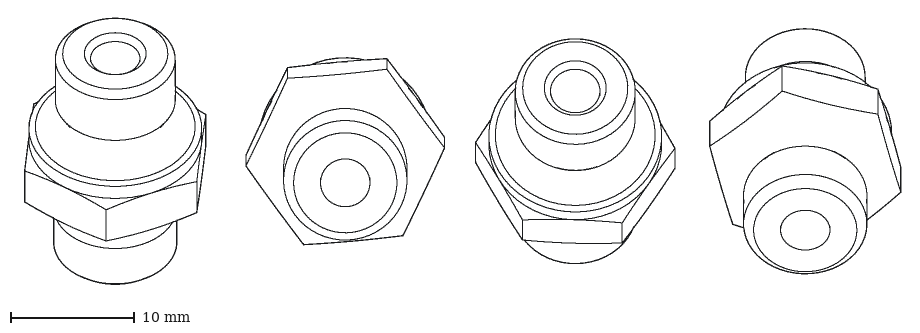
import cadquery as cq
import math

TOTAL_HEIGHT = 21.5
HEX_BOTTOM = 8.02
HEX_HEIGHT = 4.0
FLANGE_RIM_TOP = 13.48
UPPER_THREAD_BOTTOM = 16.43
LOWER_THREAD_TOP = 4.69

HEX_ACROSS_FLATS = 14.0
FLANGE_RADIUS = HEX_ACROSS_FLATS / 2
FLANGE_RIM_RADIUS = 6.47
UPPER_THREAD_RADIUS = 9.72 / 2
LOWER_THREAD_RADIUS = 10.0 / 2
UPPER_NECK_RADIUS = 8.3 / 2
LOWER_NECK_RADIUS = 8.4 / 2
BORE_RADIUS = 4.0 / 2
COUNTERSINK_RADIUS = 5.0 / 2

UPPER_THREAD_CHAMFER = 0.6
LOWER_THREAD_CHAMFER = 0.82
UPPER_NECK_BLEND = 1.0
LOWER_NECK_BLEND = 0.8
RUNOUT_ANGLE = math.radians(30)
DISH_ANGLE = math.radians(8)
CORNER_ANGLE = math.radians(15)


def arc_point(center, radius, angle):
    """Point on a profile arc; angle 0 points away from the axis."""
    return (center[0] + radius * math.cos(angle), center[1] + radius * math.sin(angle))


def runout_height(neck_radius, thread_radius, blend):
    """Height from the thread edge to the straight neck."""
    blend_rise = blend * (1 - math.cos(RUNOUT_ANGLE))
    cone_height = (thread_radius - neck_radius - blend_rise) / math.tan(RUNOUT_ANGLE)
    return cone_height + blend * math.sin(RUNOUT_ANGLE)


def turned_body():
    """Lower thread, lower neck, flange, upper neck and upper thread as one revolve."""
    lower_center_r = LOWER_NECK_RADIUS + LOWER_NECK_BLEND
    lower_runout = runout_height(LOWER_NECK_RADIUS, LOWER_THREAD_RADIUS, LOWER_NECK_BLEND)
    lower_runout_center = (lower_center_r, LOWER_THREAD_TOP + lower_runout)
    lower_fillet_center = (lower_center_r, HEX_BOTTOM - LOWER_NECK_BLEND)

    upper_center_r = UPPER_NECK_RADIUS + UPPER_NECK_BLEND
    upper_runout = runout_height(UPPER_NECK_RADIUS, UPPER_THREAD_RADIUS, UPPER_NECK_BLEND)
    upper_runout_center = (upper_center_r, UPPER_THREAD_BOTTOM - upper_runout)
    dish_drop = (FLANGE_RIM_RADIUS - upper_center_r) * math.tan(DISH_ANGLE)
    upper_fillet_z = FLANGE_RIM_TOP - dish_drop + UPPER_NECK_BLEND / math.cos(DISH_ANGLE)
    upper_fillet_center = (upper_center_r, upper_fillet_z)
    dish_tangent_angle = 1.5 * math.pi + DISH_ANGLE
    edge_drop = (FLANGE_RADIUS - FLANGE_RIM_RADIUS) * math.tan(CORNER_ANGLE)

    profile = (
        cq.Workplane("XZ")
        .moveTo(0, 0)
        .lineTo(LOWER_THREAD_RADIUS - LOWER_THREAD_CHAMFER, 0)
        .lineTo(LOWER_THREAD_RADIUS, LOWER_THREAD_CHAMFER)
        .lineTo(LOWER_THREAD_RADIUS, LOWER_THREAD_TOP)
        .lineTo(*arc_point(lower_runout_center, LOWER_NECK_BLEND, math.pi + RUNOUT_ANGLE))
        .threePointArc(
            arc_point(lower_runout_center, LOWER_NECK_BLEND, math.pi + RUNOUT_ANGLE / 2),
            arc_point(lower_runout_center, LOWER_NECK_BLEND, math.pi),
        )
        .lineTo(*arc_point(lower_fillet_center, LOWER_NECK_BLEND, math.pi))
        .threePointArc(
            arc_point(lower_fillet_center, LOWER_NECK_BLEND, 0.75 * math.pi),
            arc_point(lower_fillet_center, LOWER_NECK_BLEND, math.pi / 2),
        )
        .lineTo(FLANGE_RADIUS, HEX_BOTTOM)
        .lineTo(FLANGE_RADIUS, FLANGE_RIM_TOP - edge_drop)
        .lineTo(FLANGE_RIM_RADIUS, FLANGE_RIM_TOP)
        .lineTo(*arc_point(upper_fillet_center, UPPER_NECK_BLEND, dish_tangent_angle))
        .threePointArc(
            arc_point(upper_fillet_center, UPPER_NECK_BLEND, 1.25 * math.pi),
            arc_point(upper_fillet_center, UPPER_NECK_BLEND, math.pi),
        )
        .lineTo(*arc_point(upper_runout_center, UPPER_NECK_BLEND, math.pi))
        .threePointArc(
            arc_point(upper_runout_center, UPPER_NECK_BLEND, math.pi - RUNOUT_ANGLE / 2),
            arc_point(upper_runout_center, UPPER_NECK_BLEND, math.pi - RUNOUT_ANGLE),
        )
        .lineTo(UPPER_THREAD_RADIUS, UPPER_THREAD_BOTTOM)
        .lineTo(UPPER_THREAD_RADIUS, TOTAL_HEIGHT - UPPER_THREAD_CHAMFER)
        .lineTo(UPPER_THREAD_RADIUS - UPPER_THREAD_CHAMFER, TOTAL_HEIGHT)
        .lineTo(0, TOTAL_HEIGHT)
        .close()
    )
    return profile.revolve(360, (0, 0), (0, 1))


def wrench_hex():
    """Hexagon with corners on the Y axis, beveled above and below at the corners."""
    corner_radius = HEX_ACROSS_FLATS / 2 / math.cos(math.pi / 6)
    bevel_height = (corner_radius - FLANGE_RADIUS) * math.tan(CORNER_ANGLE)
    hex_top = HEX_BOTTOM + HEX_HEIGHT
    prism = (
        cq.Workplane("XY", origin=(0, 0, HEX_BOTTOM))
        .polygon(6, 2 * corner_radius)
        .extrude(HEX_HEIGHT)
        .rotate((0, 0, 0), (0, 0, 1), 30)
    )
    bevel_envelope = (
        cq.Workplane("XZ")
        .moveTo(0, HEX_BOTTOM)
        .lineTo(FLANGE_RADIUS, HEX_BOTTOM)
        .lineTo(corner_radius, HEX_BOTTOM + bevel_height)
        .lineTo(corner_radius, hex_top - bevel_height)
        .lineTo(FLANGE_RADIUS, hex_top)
        .lineTo(0, hex_top)
        .close()
        .revolve(360, (0, 0), (0, 1))
    )
    return prism.intersect(bevel_envelope)


def bore():
    """Through bore with a 45 degree countersink at the upper end."""
    countersink_depth = COUNTERSINK_RADIUS - BORE_RADIUS
    return (
        cq.Workplane("XZ")
        .moveTo(0, 0)
        .lineTo(BORE_RADIUS, 0)
        .lineTo(BORE_RADIUS, TOTAL_HEIGHT - countersink_depth)
        .lineTo(COUNTERSINK_RADIUS, TOTAL_HEIGHT)
        .lineTo(0, TOTAL_HEIGHT)
        .close()
        .revolve(360, (0, 0), (0, 1))
    )


result = turned_body().union(wrench_hex()).cut(bore())